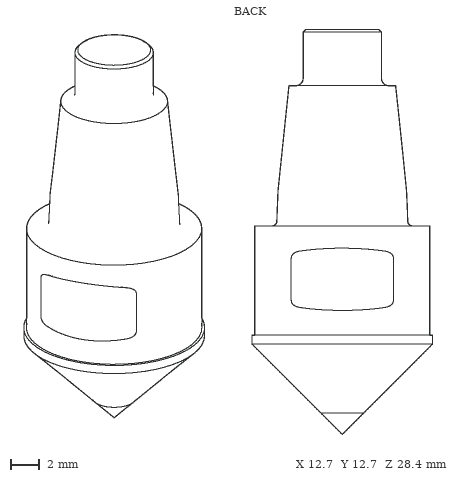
import cadquery as cq
import math

TOTAL_HEIGHT = 28.4
TIP_TOP_Z = 1.5
COLLAR_HEIGHT = 0.62
BODY_TOP_Z = 14.63
NECK_TOP_Z = 17.1
TAPER_TOP_Z = 24.45

COLLAR_RADIUS = 12.7 / 2
BODY_RADIUS = 12.3 / 2
NECK_BOTTOM_RADIUS = 4.6
NECK_TOP_RADIUS = 4.52
TAPER_TOP_RADIUS = 3.75
PIN_RADIUS = 5.5 / 2

PIN_CHAMFER = 0.2
PIN_ROOT_FILLET = 0.5
NECK_ROOT_FILLET = 0.3

SLOT_CENTRE_Z = 10.88
SLOT_FLOOR_OFFSET = 5.0
SLOT_FLOOR_HALF_HEIGHT = 1.87
SLOT_WALL_ANGLE = 15.0
SLOT_FILLET = 0.5
CUT_MARGIN = 0.28

COLLAR_BOTTOM_Z = COLLAR_RADIUS
COLLAR_TOP_Z = COLLAR_BOTTOM_Z + COLLAR_HEIGHT
TIP_RADIUS = TIP_TOP_Z


def revolve_about_z(outline):
    """Revolve a closed outline drawn in the XZ plane about the Z axis."""
    return outline.close().revolve(360, (0, 0, 0), (0, 1, 0))


def make_turned_holder():
    """Cone above the tip, collar, body, taper and pin, turned in one profile."""
    neck_fillet_top = BODY_TOP_Z + NECK_ROOT_FILLET
    pin_fillet_top = TAPER_TOP_Z + PIN_ROOT_FILLET
    outline = (
        cq.Workplane("XZ")
        .moveTo(0, TIP_TOP_Z)
        .lineTo(TIP_RADIUS, TIP_TOP_Z)
        .lineTo(COLLAR_RADIUS, COLLAR_BOTTOM_Z)
        .lineTo(COLLAR_RADIUS, COLLAR_TOP_Z)
        .lineTo(BODY_RADIUS, COLLAR_TOP_Z)
        .lineTo(BODY_RADIUS, BODY_TOP_Z)
        .lineTo(NECK_BOTTOM_RADIUS + NECK_ROOT_FILLET, BODY_TOP_Z)
        .radiusArc((NECK_BOTTOM_RADIUS, neck_fillet_top), NECK_ROOT_FILLET)
        .lineTo(NECK_TOP_RADIUS, NECK_TOP_Z)
        .lineTo(TAPER_TOP_RADIUS, TAPER_TOP_Z)
        .lineTo(PIN_RADIUS + PIN_ROOT_FILLET, TAPER_TOP_Z)
        .radiusArc((PIN_RADIUS, pin_fillet_top), PIN_ROOT_FILLET)
        .lineTo(PIN_RADIUS, TOTAL_HEIGHT - PIN_CHAMFER)
        .lineTo(PIN_RADIUS - PIN_CHAMFER, TOTAL_HEIGHT)
        .lineTo(0, TOTAL_HEIGHT)
    )
    return revolve_about_z(outline)


def make_slot_cutter(side):
    """Cutter with flared walls and rounded floor corners; side is -1 or +1 in Y."""
    floor_y = side * SLOT_FLOOR_OFFSET
    mouth_y = side * (BODY_RADIUS + CUT_MARGIN)
    flare = abs(mouth_y - floor_y) * math.tan(math.radians(SLOT_WALL_ANGLE))
    mouth_half_height = SLOT_FLOOR_HALF_HEIGHT + flare
    floor_edges = "<Y" if side > 0 else ">Y"
    return (
        cq.Workplane("YZ")
        .polyline([
            (floor_y, SLOT_CENTRE_Z - SLOT_FLOOR_HALF_HEIGHT),
            (mouth_y, SLOT_CENTRE_Z - mouth_half_height),
            (mouth_y, SLOT_CENTRE_Z + mouth_half_height),
            (floor_y, SLOT_CENTRE_Z + SLOT_FLOOR_HALF_HEIGHT),
        ])
        .close()
        .extrude(BODY_RADIUS + CUT_MARGIN, both=True)
        .faces(floor_edges)
        .edges("|X")
        .fillet(SLOT_FILLET)
    )


def make_holder():
    """Turned holder with the two opposite wrench slots."""
    holder = make_turned_holder()
    for side in (-1, 1):
        holder = holder.cut(make_slot_cutter(side))
    return holder


def make_tip():
    """Small cone that completes the point below the holder."""
    outline = (
        cq.Workplane("XZ")
        .lineTo(TIP_RADIUS, TIP_TOP_Z)
        .lineTo(0, TIP_TOP_Z)
    )
    return revolve_about_z(outline)


holder = make_holder()
tip = make_tip()

result = cq.Compound.makeCompound([holder.val(), tip.val()])